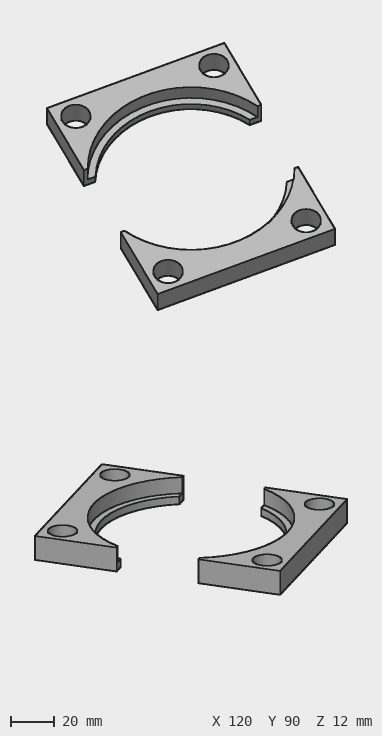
import cadquery as cq

overall_length = 120.0
overall_width = 90.0
thickness = 12.0

jaw_length = overall_length / 3

seat_diameter = 95.0
ledge_opening_diameter = 88.0
ledge_height = 4.0

hole_diameter = 13.5
hole_edge_distance = 10.0


def cylinder(diameter, height, x=0, y=0, base=0):
    """Upright cylinder standing on the level `base`."""
    return cq.Workplane("XY", origin=(x, y, base)).circle(diameter / 2).extrude(height)


def make_jaw(side):
    """One clamp jaw: side is -1 for the left jaw, +1 for the right jaw."""
    jaw_center_x = side * (overall_length - jaw_length) / 2
    jaw = cq.Workplane("XY").box(jaw_length, overall_width, thickness, centered=(True, True, False))
    jaw = jaw.translate((jaw_center_x, 0, 0))

    jaw = jaw.cut(cylinder(ledge_opening_diameter, thickness))
    jaw = jaw.cut(cylinder(seat_diameter, thickness - ledge_height, base=ledge_height))

    hole_x = side * (overall_length / 2 - hole_edge_distance)
    hole_y = overall_width / 2 - hole_edge_distance
    for y in (-hole_y, hole_y):
        jaw = jaw.cut(cylinder(hole_diameter, thickness, hole_x, y))
    return jaw


jaws = [make_jaw(side).val() for side in (-1, 1)]

result = cq.Compound.makeCompound(jaws)